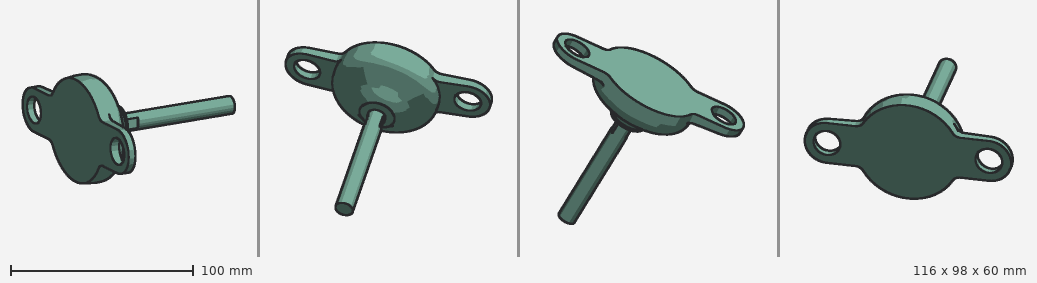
import cadquery as cq
import math

OVERALL_LENGTH = 116.0
OVERALL_HEIGHT = 98.0

SOLE_RADIUS = 29.2
BODY_DIAMETER = 60.0
BODY_RADIUS = BODY_DIAMETER / 2
RIM_Y = 6.3
SHOULDER_Y = 9.2
SHOULDER_RADIUS = 7.2
CONE_SLOPE = math.radians(27)
DOME_RADIUS = 20.0
DOME_CENTER_Y = 8.8
DOME_BLEND = 4.6
SEAT_Y = 26.6

LUG_RADIUS = 12.5
LUG_HOLE_DIAMETER = 15.0
LUG_TIP_THICKNESS = 4.3
LUG_SLOPE_START_X = 24.8
LUG_FILLET = 5.0
SELECTION_MARGIN = 1.2
LUG_CENTER_X = OVERALL_LENGTH / 2 - LUG_RADIUS

ROD_RADIUS = 5.0
FLANGE_BOTTOM_RADIUS = 9.3
FLANGE_RADIUS = 10.0
FLANGE_TOP_RADIUS = 7.7
FLANGE_EDGE_Y = 27.4
FLANGE_TOP_Y = 28.0
FLATS_START_Y = 30.0
FLATS_LENGTH = 7.0
ACROSS_FLATS = 8.0


def revolve_about_y(profile):
    """Close a half profile in the XY plane and turn it about the Y axis."""
    return profile.close().revolve(360, (0, 0, 0), (0, 1, 0))


def make_rim():
    """Lower part of the foot, widening upward from the sole."""
    profile = (
        cq.Workplane("XY")
        .lineTo(SOLE_RADIUS, 0)
        .lineTo(BODY_RADIUS, RIM_Y)
        .lineTo(0, RIM_Y)
    )
    return revolve_about_y(profile)


def make_upper_body():
    """Cylindrical band, rounded shoulder, cone and dome with a flat seat."""
    center_r = BODY_RADIUS - SHOULDER_RADIUS

    def shoulder_point(angle):
        return (
            center_r + SHOULDER_RADIUS * math.cos(angle),
            SHOULDER_Y + SHOULDER_RADIUS * math.sin(angle),
        )

    shoulder_end_angle = math.pi / 2 - CONE_SLOPE
    cone_start = shoulder_point(shoulder_end_angle)

    start_r = cone_start[0]
    start_y = cone_start[1] - DOME_CENTER_Y
    along = start_r * math.cos(CONE_SLOPE) - start_y * math.sin(CONE_SLOPE)
    offset_squared = start_r**2 + start_y**2 - DOME_RADIUS**2
    cone_length = along - math.sqrt(along**2 - offset_squared)
    cone_end = (
        start_r - cone_length * math.cos(CONE_SLOPE),
        cone_start[1] + cone_length * math.sin(CONE_SLOPE),
    )

    seat_angle = math.asin((SEAT_Y - DOME_CENTER_Y) / DOME_RADIUS)
    dome_start_angle = math.atan2(cone_end[1] - DOME_CENTER_Y, cone_end[0])

    def dome_point(angle):
        return (
            DOME_RADIUS * math.cos(angle),
            DOME_CENTER_Y + DOME_RADIUS * math.sin(angle),
        )

    profile = (
        cq.Workplane("XY")
        .moveTo(0, RIM_Y)
        .lineTo(BODY_RADIUS, RIM_Y)
        .lineTo(BODY_RADIUS, SHOULDER_Y)
        .threePointArc(shoulder_point(shoulder_end_angle / 2), cone_start)
        .lineTo(*cone_end)
        .threePointArc(dome_point((dome_start_angle + seat_angle) / 2), dome_point(seat_angle))
        .lineTo(0, SEAT_Y)
    )
    body = revolve_about_y(profile)

    reach = cone_end[0] + SELECTION_MARGIN
    corner_box = cq.selectors.BoxSelector(
        (-reach, cone_end[1] - SELECTION_MARGIN, -reach),
        (reach, cone_end[1] + SELECTION_MARGIN, reach),
        boundingbox=True,
    )
    return body.edges(corner_box).fillet(DOME_BLEND)


def make_lugged_rim():
    """Rim with two lugs that thin toward their tips and blend into the rim."""
    rim = make_rim()
    lugs = (
        cq.Workplane("XZ")
        .slot2D(OVERALL_LENGTH, 2 * LUG_RADIUS)
        .extrude(-RIM_Y)
    )
    base = rim.union(lugs)

    corner_min_x = math.sqrt(SOLE_RADIUS**2 - LUG_RADIUS**2) - SELECTION_MARGIN
    corner_max_x = math.sqrt(BODY_RADIUS**2 - LUG_RADIUS**2) + SELECTION_MARGIN
    half_width = LUG_RADIUS + SELECTION_MARGIN
    for x_low, x_high in ((-corner_max_x, -corner_min_x), (corner_min_x, corner_max_x)):
        corners = cq.selectors.BoxSelector(
            (x_low, -SELECTION_MARGIN, -half_width),
            (x_high, RIM_Y + SELECTION_MARGIN, half_width),
            boundingbox=True,
        )
        base = base.edges(corners).fillet(LUG_FILLET)

    wedge = (
        cq.Workplane("XY")
        .moveTo(LUG_SLOPE_START_X, RIM_Y)
        .lineTo(OVERALL_LENGTH / 2, LUG_TIP_THICKNESS)
        .lineTo(OVERALL_LENGTH / 2, RIM_Y)
        .close()
        .extrude(BODY_RADIUS, both=True)
    )
    base = base.cut(wedge).cut(wedge.mirror("YZ"))

    holes = (
        cq.Workplane("XZ")
        .pushPoints([(-LUG_CENTER_X, 0), (LUG_CENTER_X, 0)])
        .circle(LUG_HOLE_DIAMETER / 2)
        .extrude(-RIM_Y)
    )
    return base.cut(holes).union(rim)


def make_foot():
    return make_lugged_rim().union(make_upper_body())


def make_stud():
    """Rod with a double-bevelled flange and two wrench flats facing +X and -X."""
    profile = (
        cq.Workplane("XY")
        .moveTo(0, SEAT_Y)
        .lineTo(FLANGE_BOTTOM_RADIUS, SEAT_Y)
        .lineTo(FLANGE_RADIUS, FLANGE_EDGE_Y)
        .lineTo(FLANGE_TOP_RADIUS, FLANGE_TOP_Y)
        .lineTo(ROD_RADIUS, FLANGE_TOP_Y)
        .lineTo(ROD_RADIUS, OVERALL_HEIGHT)
        .lineTo(0, OVERALL_HEIGHT)
    )
    stud = revolve_about_y(profile)

    for side in (-1, 1):
        flat = cq.Workplane("XY").box(ROD_RADIUS, FLATS_LENGTH, 2 * ROD_RADIUS)
        flat_x = side * (ACROSS_FLATS + ROD_RADIUS) / 2
        stud = stud.cut(flat.translate((flat_x, FLATS_START_Y + FLATS_LENGTH / 2, 0)))
    return stud


foot = make_foot()
stud = make_stud()

result = cq.Compound.makeCompound([foot.val(), stud.val()])